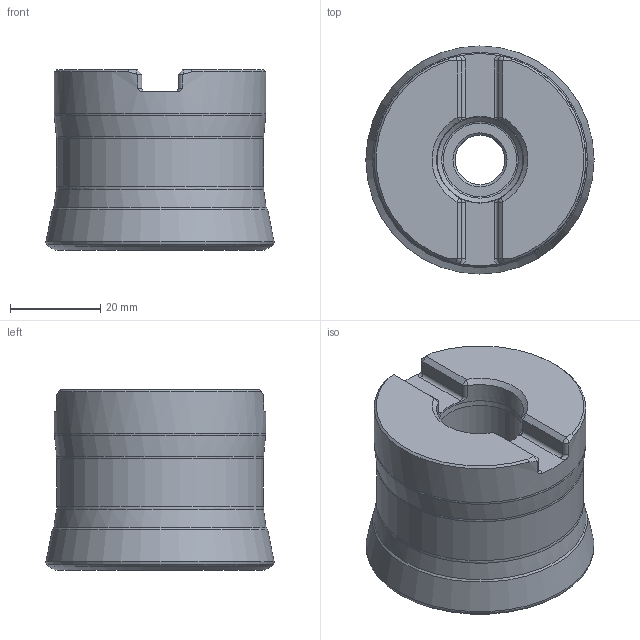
import cadquery as cq
import math

total_height = 40.0
joint_height = 9.45

hub_radius = 47.0 / 2
waist_radius = 45.94 / 2
hub_foot_radius = 23.55
rim_chamfer = 0.45
collar_bottom = 30.1
waist_top = 25.0
waist_bottom = 13.85
blend_radius = 5.0

ring_top_radius = 23.88
ring_shoulder = 0.45
nose_top_radius = 25.305
nose_top = 1.97
nose_radius_at_break = 25.1
nose_break = 1.25
nose_end_radius = 24.5
nose_bottom = 0.72
face_radius = 23.2

bore_radius = 19.06 / 2
relief_radius = 19.25 / 2
relief_bottom = 34.6
relief_taper_height = 1.2
seat_height = 20.0
seat_radius = 8.15
seat_blend = 0.5
hole_radius = 11.0 / 2
hole_chamfer = 0.5

slot_half_width = 4.03
slot_depth = 4.88
slot_floor_fillet = 0.8
slot_corner_radius = 1.08
slot_flare_reach = 23.0
mouth_chamfer = 1.02

overshoot = 2.0
selection_margin = 0.1


def revolve_outline(outline):
    """Close an outline drawn as (radius, height) and turn it around Z."""
    return outline.close().revolve(360, (0, 0, 0), (0, 1, 0))


def hub_blank():
    blank = revolve_outline(
        cq.Workplane("XZ")
        .moveTo(0, joint_height)
        .lineTo(hub_foot_radius, joint_height)
        .lineTo(waist_radius, waist_bottom)
        .lineTo(waist_radius, waist_top)
        .lineTo(hub_radius, collar_bottom)
        .lineTo(hub_radius, total_height - rim_chamfer)
        .lineTo(hub_radius - rim_chamfer, total_height)
        .lineTo(0, total_height)
    )
    for height in (waist_bottom, waist_top, collar_bottom):
        circle_centre = cq.selectors.BoxSelector(
            (-selection_margin, -selection_margin, height - selection_margin),
            (selection_margin, selection_margin, height + selection_margin),
        )
        blank = blank.edges(circle_centre).fillet(blend_radius)
    return blank


def slot_plan(height):
    """Outline at a height: slot with flared ends, joined to the bore relief, corners rounded."""
    plane = cq.Workplane("XY").workplane(offset=height)
    slot = plane.rect(2 * slot_half_width, 2 * slot_flare_reach).extrude(overshoot)
    slot = slot.union(plane.circle(relief_radius).extrude(overshoot))
    flare_depth = hub_radius + overshoot - slot_flare_reach
    for side in (1, -1):
        flare = plane.center(0, side * (slot_flare_reach + flare_depth / 2))
        slot = slot.union(flare.rect(2 * hub_radius, flare_depth).extrude(overshoot))
    half_x = slot_half_width + selection_margin
    half_y = slot_flare_reach + selection_margin
    inner_corners = cq.selectors.BoxSelector(
        (-half_x, -half_y, height),
        (half_x, half_y, height + overshoot),
    )
    slot = slot.edges("|Z").edges(inner_corners).fillet(slot_corner_radius)
    return cq.Workplane("XY").add(slot.faces("<Z").wires().val()).toPending()


def slot_cutter():
    channel = slot_plan(total_height - slot_depth).extrude(slot_depth)
    channel = channel.faces("<Z").edges().fillet(slot_floor_fillet)
    mouth = slot_plan(total_height - mouth_chamfer).extrude(mouth_chamfer, taper=-45)
    return channel.union(mouth)


def bore_cutter():
    blend_end_radius = seat_radius + seat_blend * math.sin(math.pi / 4)
    blend_end_height = seat_height + seat_blend * (1 - math.cos(math.pi / 4))
    cone_top = blend_end_height + bore_radius - blend_end_radius
    return revolve_outline(
        cq.Workplane("XZ")
        .moveTo(0, -overshoot)
        .lineTo(hole_radius, -overshoot)
        .lineTo(hole_radius, seat_height - hole_chamfer)
        .lineTo(hole_radius + hole_chamfer, seat_height)
        .lineTo(seat_radius, seat_height)
        .tangentArcPoint((blend_end_radius, blend_end_height), relative=False)
        .lineTo(bore_radius, cone_top)
        .lineTo(bore_radius, relief_bottom - relief_taper_height)
        .lineTo(relief_radius, relief_bottom)
        .lineTo(relief_radius, total_height)
        .lineTo(0, total_height)
    )


def ring_blank():
    return revolve_outline(
        cq.Workplane("XZ")
        .moveTo(0, joint_height)
        .lineTo(hub_foot_radius, joint_height)
        .lineTo(ring_top_radius, joint_height - ring_shoulder)
        .lineTo(nose_top_radius, nose_top)
        .tangentArcPoint((nose_radius_at_break, nose_break), relative=False)
        .tangentArcPoint((nose_end_radius, nose_bottom), relative=False)
        .lineTo(face_radius, 0)
        .lineTo(0, 0)
    )


hub = hub_blank().cut(slot_cutter()).cut(bore_cutter())
cutting_ring = ring_blank().cut(bore_cutter())

result = cq.Compound.makeCompound([hub.val(), cutting_ring.val()])